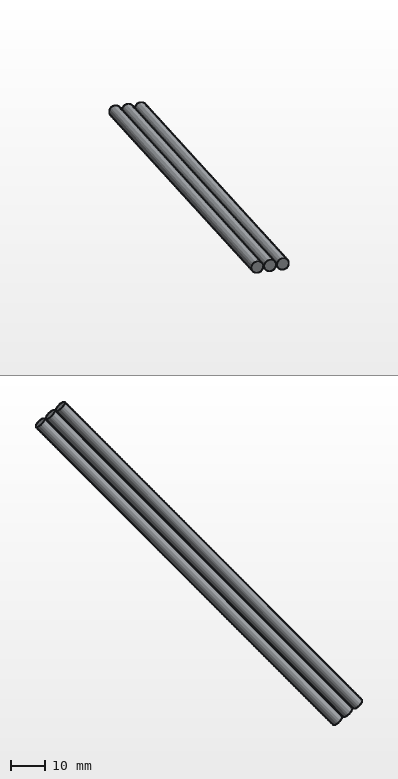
import cadquery as cq

rod_length = 130.0
rod_diameter = 3.6
row_width = 11.6
rod_count = 3

rod_pitch = (row_width - rod_diameter) / (rod_count - 1)


def make_rod(center_y):
    """Plain round rod along X, centred on the origin in X and Z."""
    return (
        cq.Workplane("YZ", origin=(-rod_length / 2, center_y, 0))
        .circle(rod_diameter / 2)
        .extrude(rod_length)
    )


rods = []
for index in range(rod_count):
    center_y = (index - (rod_count - 1) / 2) * rod_pitch
    rods.append(make_rod(center_y))

result = cq.Compound.makeCompound([rod.val() for rod in rods])